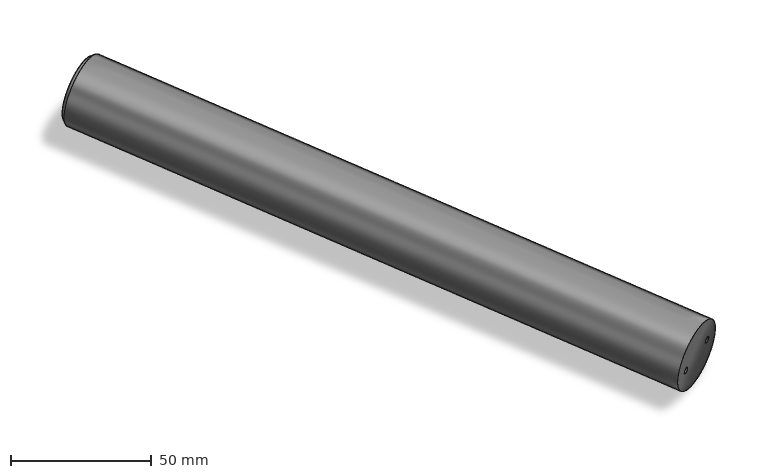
import cadquery as cq
import math

length = 250.0
diameter = 28.0
chamfer_length = 1.5
chamfer_height = 1.2

channel_diameter = 2.5
channel_y = -5.0
channel_z = 6.0
helix_angle = 30.0

end_x = -length / 2


def make_bar():
    """Round bar centred on the origin, revolved about the X axis."""
    radius = diameter / 2
    return (
        cq.Workplane("XY")
        .moveTo(end_x, 0)
        .lineTo(end_x, radius - chamfer_height)
        .lineTo(end_x + chamfer_length, radius)
        .lineTo(length / 2, radius)
        .lineTo(length / 2, 0)
        .close()
        .revolve(360, (0, 0, 0), (1, 0, 0))
    )


def make_channels():
    """Both channels: circles twisted about the bar axis from end to end."""
    pitch = math.pi * diameter / math.tan(math.radians(helix_angle))
    twist = 360 * length / pitch
    return (
        cq.Workplane("YZ", origin=(end_x, 0, 0))
        .pushPoints([(channel_y, channel_z), (-channel_y, -channel_z)])
        .circle(channel_diameter / 2)
        .twistExtrude(length, twist)
    )


result = make_bar().cut(make_channels())